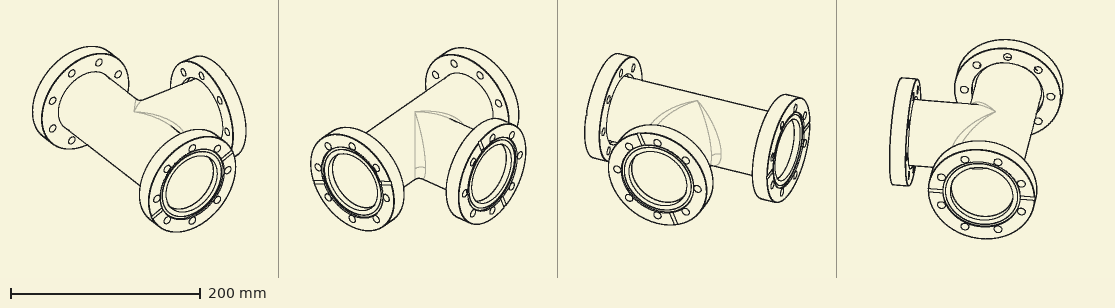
import cadquery as cq
import math

TUBE_DIAMETER = 70.0
TUBE_BORE = 66.0
RUN_LENGTH = 210.0
BRANCH_REACH = 105.0
CROTCH_FILLET = 7.8

FLANGE_DIAMETER = 113.5
FLANGE_THICKNESS = 17.5
RIM_CHAMFER = 0.5
FLANGE_BORE = 66.5
TUBE_SOCKET = 70.4
TUBE_STOP_DEPTH = 8.0

BOLT_COUNT = 8
BOLT_CIRCLE = 92.0
BOLT_HOLE = 8.5
BOLT_PITCH = 360.0 / BOLT_COUNT

RECESS_DIAMETER = 82.3
KNIFE_DIAMETER = 76.9
KNIFE_DEPTH = 0.6
SEAL_DEPTH = 1.3
KNIFE_SLOPE = 20.0

GROOVE_WIDTH = 4.2
GROOVE_DEPTH = 1.0
GROOVE_RUN_IN = 0.5

INSERT_DIAMETER = RECESS_DIAMETER
INSERT_BACK_DEPTH = 11.3
RING_SEAT = 83.2
RING_BORE = 76.6



def revolved(profile):
    """Turn a closed (x, radius) profile about the X axis."""
    return cq.Workplane("XY").polyline(profile).close().revolve(360, (0, 0, 0), (1, 0, 0))


def sealing_profile(back):
    """(x, radius) points from the foot of the knife edge in to the bore and out to the back face."""
    slope_drop = (RECESS_DIAMETER - KNIFE_DIAMETER) / 2 * math.tan(math.radians(KNIFE_SLOPE))
    return [
        (-KNIFE_DEPTH - slope_drop, RECESS_DIAMETER / 2),
        (-KNIFE_DEPTH, KNIFE_DIAMETER / 2),
        (-SEAL_DEPTH, KNIFE_DIAMETER / 2),
        (-SEAL_DEPTH, FLANGE_BORE / 2),
        (-TUBE_STOP_DEPTH, FLANGE_BORE / 2),
        (-TUBE_STOP_DEPTH, TUBE_SOCKET / 2),
        (back, TUBE_SOCKET / 2),
    ]


def rim_profile():
    """(x, radius) points of the rim from the back face to the front face, with both edges chamfered."""
    rim = FLANGE_DIAMETER / 2
    return [
        (-FLANGE_THICKNESS, rim - RIM_CHAMFER),
        (RIM_CHAMFER - FLANGE_THICKNESS, rim),
        (-RIM_CHAMFER, rim),
        (0, rim - RIM_CHAMFER),
    ]


def cut_bolt_holes(flange):
    """Bolt holes placed evenly to both sides of the Y axis."""
    holes = (
        cq.Workplane("YZ")
        .polarArray(BOLT_CIRCLE / 2, BOLT_PITCH / 2, 360, BOLT_COUNT)
        .circle(BOLT_HOLE / 2)
        .extrude(-FLANGE_THICKNESS)
    )
    return flange.cut(holes)


def cut_leak_grooves(flange, wall_diameter):
    """Grooves along +Y and -Y, from the recess wall out through the rim."""
    arc_radius = ((GROOVE_WIDTH / 2) ** 2 + GROOVE_DEPTH**2) / (2 * GROOVE_DEPTH)
    inner_end = wall_diameter / 2 - GROOVE_RUN_IN
    for side in (1, -1):
        groove = (
            cq.Workplane("XZ", origin=(0, side * inner_end, 0))
            .center(arc_radius - GROOVE_DEPTH, 0)
            .circle(arc_radius)
            .extrude(-side * FLANGE_DIAMETER / 2)
        )
        flange = flange.cut(groove)
    return flange


def make_fixed_flange():
    recess_edge = [(0, RECESS_DIAMETER / 2)]
    body = revolved(recess_edge + sealing_profile(-FLANGE_THICKNESS) + rim_profile())
    return cut_leak_grooves(cut_bolt_holes(body), RECESS_DIAMETER)


def make_insert():
    back = -INSERT_BACK_DEPTH
    return revolved(sealing_profile(back) + [(back, INSERT_DIAMETER / 2)])


def make_ring(turn):
    """Bolt ring, turned about its own axis by the given angle."""
    stepped_bore = [
        (0, RING_SEAT / 2),
        (-INSERT_BACK_DEPTH, RING_SEAT / 2),
        (-INSERT_BACK_DEPTH, RING_BORE / 2),
        (-FLANGE_THICKNESS, RING_BORE / 2),
    ]
    body = revolved(stepped_bore + rim_profile())
    ring = cut_leak_grooves(cut_bolt_holes(body), RING_SEAT)
    return ring.rotate((0, 0, 0), (1, 0, 0), turn)


def tee_cylinders(diameter, run_half_length, branch_length):
    """Two crossing cylinders: the run along X and the branch along +Y."""
    run = cq.Workplane("YZ").circle(diameter / 2).extrude(run_half_length, both=True)
    branch = cq.Workplane("XZ").circle(diameter / 2).extrude(-branch_length)
    return run.union(branch)


def make_tee():
    run_half_length = RUN_LENGTH / 2 - TUBE_STOP_DEPTH
    branch_length = BRANCH_REACH - TUBE_STOP_DEPTH
    outside = tee_cylinders(TUBE_DIAMETER, run_half_length, branch_length)
    outside = outside.edges("%ELLIPSE").fillet(CROTCH_FILLET)
    return outside.cut(tee_cylinders(TUBE_BORE, run_half_length, branch_length))


def place(part, angle, reach):
    """Move a flange part out along X by its reach, then swing it about Z."""
    return part.translate((reach, 0, 0)).rotate((0, 0, 0), (0, 0, 1), angle)


tee = make_tee()
fixed_flange = place(make_fixed_flange(), 180, RUN_LENGTH / 2)

ROTATABLE_PORTS = [
    (0, RUN_LENGTH / 2, BOLT_PITCH / 2),
    (90, BRANCH_REACH, 90 + BOLT_PITCH / 2),
]
rings = []
inserts = []
for swing, port_reach, ring_turn in ROTATABLE_PORTS:
    rings.append(place(make_ring(ring_turn), swing, port_reach).val())
    inserts.append(place(make_insert(), swing, port_reach).val())

result = cq.Compound.makeCompound([tee.val(), fixed_flange.val(), *rings, *inserts])